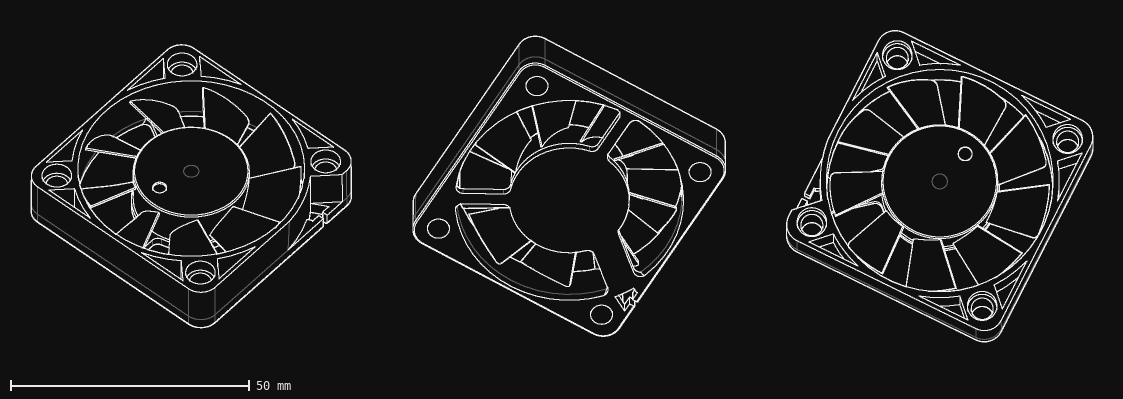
import cadquery as cq
import math

SIDE = 50.0
HEIGHT = 12.0
CORNER_RADIUS = 4.0
BASE_HEIGHT = 3.0
WALL_DRAFT = 0.05
BOTTOM_CHAMFER = 0.3

DUCT_RADIUS = 23.8
DUCT_MOUTH_RADIUS = 24.0
THROAT_RADIUS = 23.7
THROAT_HEIGHT = 2.0

HOLE_OFFSET = 20.0
HOLE_DIAMETER = 4.6
COUNTERBORE_DIAMETER = 6.2
COUNTERBORE_DEPTH = 3.0

RING_RADIUS = 25.1
POCKET_LIMIT = 24.05
CORNER_WEB = 7.6
POCKET_FLOOR = BASE_HEIGHT

OUTLET_FACE = 23.7
OUTLET_TOP = 16.75
OUTLET_BOTTOM = 11.6
OUTLET_SHOULDER = 23.4
OUTLET_FOOT = 11.1
SLIT_CENTRE = 14.15
SLIT_WIDTH = 1.2

MOTOR_BASE_RADIUS = 12.6
MOTOR_BASE_HEIGHT = 2.0
ARM_WIDTH = 2.5
ARM_ANGLES = (150, 270)
CABLE_ARM_ANGLE = 30
CABLE_ARM_BASE = (5.25, 1.25)
CABLE_ARM_DUCT = (3.0, 3.5)
CABLE_ARM_START = 11.35
ARM_FILLET = 1.5
SEAM_CLEARANCE = 0.5

HUB_RADIUS = 12.2
HUB_TOP = 11.1
RUNNING_GAP = 0.2
HUB_BOTTOM = MOTOR_BASE_HEIGHT + RUNNING_GAP
HUB_CHAMFER = 0.3
DIMPLE_RADIUS = 1.6
DIMPLE_DEPTH = 0.5
MARK_RADIUS = 1.45
MARK_DEPTH = 0.5
MARK_PLACE = (-2.1, -7.7)

BLADE_COUNT = 9
FIRST_BLADE_ANGLE = 68.0
BLADE_TIP_RADIUS = 23.05
BLADE_THICKNESS = 0.4
BLADE_BULGE = 0.75
TRAILING_Y = -3.85
TRAILING_Z = 4.0
TIP_ROUNDING = 1.25
ROOT_STATION = 11.0
ROOT_LEADING = (1.4, 9.7)
TIP_STATION = 24.0
TIP_LEADING = (7.6, 11.1)


def disc(radius, bottom, top):
    return cq.Workplane("XY").workplane(offset=bottom).circle(radius).extrude(top - bottom)


def frame_block():
    band = cq.Workplane("XY").rect(SIDE, SIDE).extrude(BASE_HEIGHT)
    band = band.edges("|Z").fillet(CORNER_RADIUS).faces("<Z").chamfer(BOTTOM_CHAMFER)
    lean = math.degrees(math.atan(WALL_DRAFT / (HEIGHT - BASE_HEIGHT)))
    return band.faces(">Z").wires().toPending().workplane().extrude(HEIGHT - BASE_HEIGHT, taper=lean)


def duct():
    profile = [
        (0, 0), (DUCT_MOUTH_RADIUS, 0), (THROAT_RADIUS, THROAT_HEIGHT),
        (DUCT_RADIUS, HEIGHT), (0, HEIGHT),
    ]
    return cq.Workplane("XZ").polyline(profile).close().revolve(360, (0, 0), (0, 1))


def mounting_holes():
    places = [(x, y) for x in (-HOLE_OFFSET, HOLE_OFFSET) for y in (-HOLE_OFFSET, HOLE_OFFSET)]
    holes = cq.Workplane("XY").pushPoints(places).circle(HOLE_DIAMETER / 2).extrude(HEIGHT)
    counterbores = (
        cq.Workplane("XY").workplane(offset=HEIGHT - COUNTERBORE_DEPTH)
        .pushPoints(places).circle(COUNTERBORE_DIAMETER / 2).extrude(COUNTERBORE_DEPTH)
    )
    return holes.union(counterbores)


def outside_ring(limit_x):
    """Space above the pocket floor, outside the duct wall and clear of the corner webs."""
    depth = HEIGHT - POCKET_FLOOR
    space = (
        cq.Workplane("XY").workplane(offset=POCKET_FLOOR)
        .rect(2 * limit_x, 2 * POCKET_LIMIT).extrude(depth)
    )
    webs = cq.Workplane("XY").workplane(offset=POCKET_FLOOR).rect(2 * SIDE, CORNER_WEB).extrude(depth)
    for angle in (45, 135):
        space = space.cut(webs.rotate((0, 0, 0), (0, 0, 1), angle))
    return space.cut(disc(RING_RADIUS, POCKET_FLOOR, HEIGHT))


def cable_opening():
    """The +X pocket beside the cable outlet, open through the side wall."""
    right_of_web = cq.Workplane("XY").polyline([(0, 0), (SIDE, 0), (SIDE, SIDE)]).close().extrude(HEIGHT)
    return outside_ring(SIDE / 2).intersect(right_of_web)


def cable_outlet():
    half_web = CORNER_WEB / 2
    along = math.sqrt(RING_RADIUS**2 - half_web**2)
    web_corner = ((along + half_web) / math.sqrt(2), (along - half_web) / math.sqrt(2))
    foot = (math.sqrt(RING_RADIUS**2 - OUTLET_FOOT**2), OUTLET_FOOT)
    middle_angle = (math.atan2(web_corner[1], web_corner[0]) + math.atan2(foot[1], foot[0])) / 2
    middle = (RING_RADIUS * math.cos(middle_angle), RING_RADIUS * math.sin(middle_angle))
    opening = (
        cq.Workplane("XY").moveTo(*web_corner)
        .lineTo(OUTLET_FACE, OUTLET_TOP)
        .lineTo(OUTLET_FACE, OUTLET_BOTTOM)
        .lineTo(OUTLET_SHOULDER, OUTLET_BOTTOM)
        .lineTo(*foot)
        .threePointArc(middle, web_corner)
        .close().extrude(POCKET_FLOOR)
    )
    slit_length = SIDE / 2 - OUTLET_SHOULDER
    slit = (
        cq.Workplane("XY").center(OUTLET_SHOULDER + slit_length / 2, SLIT_CENTRE)
        .rect(slit_length, SLIT_WIDTH).extrude(POCKET_FLOOR)
    )
    return opening.union(slit)


def motor_mount():
    """Motor base and arms, with fillets where the arms meet the base and the duct wall."""
    arm_end = (DUCT_MOUTH_RADIUS + RING_RADIUS) / 2
    mount = disc(MOTOR_BASE_RADIUS, 0, MOTOR_BASE_HEIGHT)
    ring = disc(RING_RADIUS, 0, MOTOR_BASE_HEIGHT).cut(disc(DUCT_MOUTH_RADIUS, 0, MOTOR_BASE_HEIGHT))
    mount = mount.union(ring)
    half = ARM_WIDTH / 2
    plain_arm = [(0, -half), (arm_end, -half), (arm_end, half), (0, half)]
    base_right, base_left = CABLE_ARM_BASE
    duct_right, duct_left = CABLE_ARM_DUCT
    cable_arm = [
        (0, -base_right), (CABLE_ARM_START, -base_right), (arm_end, -duct_right),
        (arm_end, duct_left), (CABLE_ARM_START, base_left), (0, base_left),
    ]
    arms = [(plain_arm, angle) for angle in ARM_ANGLES] + [(cable_arm, CABLE_ARM_ANGLE)]
    for outline, angle in arms:
        arm = cq.Workplane("XY").polyline(outline).close().extrude(MOTOR_BASE_HEIGHT)
        mount = mount.union(arm.rotate((0, 0, 0), (0, 0, 1), angle))
    corners = mount.edges("|Z").filter(lambda edge: abs(edge.Center().y) > SEAM_CLEARANCE)
    return corners.fillet(ARM_FILLET)


def make_frame():
    frame = frame_block().cut(duct()).cut(mounting_holes())
    frame = frame.cut(outside_ring(POCKET_LIMIT)).cut(cable_opening()).cut(cable_outlet())
    mount = motor_mount().intersect(disc(DUCT_MOUTH_RADIUS, 0, MOTOR_BASE_HEIGHT))
    return frame.union(mount)


def blade_section(station, leading):
    """Curved strip across the blade, from its high leading edge to its low trailing edge."""
    top = cq.Vector(station, *leading)
    bottom = cq.Vector(station, TRAILING_Y, TRAILING_Z)
    chord = top - bottom
    normal = cq.Vector(0, -chord.z, chord.y).normalized()
    crest = (top + bottom) * 0.5 + normal * BLADE_BULGE
    drop = normal * -BLADE_THICKNESS
    edges = [
        cq.Edge.makeThreePointArc(top, crest, bottom),
        cq.Edge.makeLine(bottom, bottom + drop),
        cq.Edge.makeThreePointArc(bottom + drop, crest + drop, top + drop),
        cq.Edge.makeLine(top + drop, top),
    ]
    return cq.Wire.assembleEdges(edges)


def make_blade():
    sections = [blade_section(ROOT_STATION, ROOT_LEADING), blade_section(TIP_STATION, TIP_LEADING)]
    sheet = cq.Workplane(cq.Solid.makeLoft(sections, True))
    beyond_trailing = (
        cq.Workplane("XY").center(0, TRAILING_Y - SIDE).rect(2 * SIDE, 2 * SIDE).extrude(HEIGHT)
    )
    outline = disc(BLADE_TIP_RADIUS, 0, HEIGHT).cut(beyond_trailing)
    outline = outline.edges("|Z").edges(">X").fillet(TIP_ROUNDING)
    return sheet.intersect(outline)


def make_impeller():
    impeller = disc(HUB_RADIUS, HUB_BOTTOM, HUB_TOP).faces(">Z").chamfer(HUB_CHAMFER)
    blade = make_blade()
    for index in range(BLADE_COUNT):
        angle = FIRST_BLADE_ANGLE + index * 360 / BLADE_COUNT
        impeller = impeller.union(blade.rotate((0, 0, 0), (0, 0, 1), angle))
    dimple = cq.Workplane(
        cq.Solid.makeCone(0, DIMPLE_RADIUS, DIMPLE_DEPTH, cq.Vector(0, 0, HUB_TOP - DIMPLE_DEPTH))
    )
    mark = disc(MARK_RADIUS, HUB_TOP - MARK_DEPTH, HUB_TOP).translate((*MARK_PLACE, 0))
    return impeller.cut(dimple).cut(mark)


frame = make_frame()
impeller = make_impeller()

result = cq.Compound.makeCompound([frame.solids().val(), impeller.solids().val()])